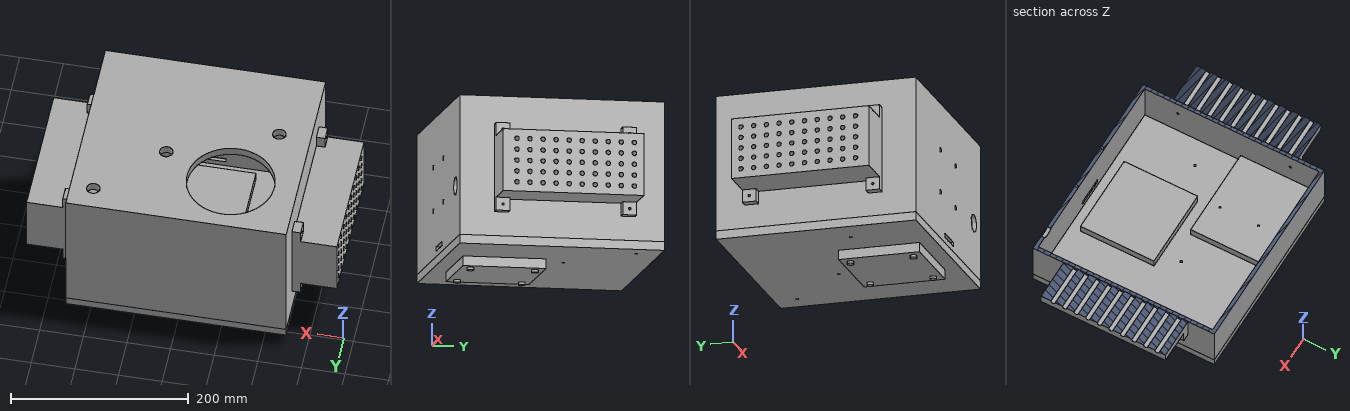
import cadquery as cq


TOTAL_WIDTH = 356.0
HOUSING_WIDTH = 252.8
HOUSING_DEPTH = 235.0
CASE_HEIGHT = 170.0
PLATE_THICKNESS = 10.0
WALL = 5.0
FRONT_Y = -HOUSING_DEPTH / 2
HOUSING_HEIGHT = CASE_HEIGHT - PLATE_THICKNESS
CAVITY_WIDTH = HOUSING_WIDTH - 2 * WALL
CAVITY_DEPTH = HOUSING_DEPTH - 2 * WALL
CAVITY_HEIGHT = HOUSING_HEIGHT - PLATE_THICKNESS

TOP_OPENING_DIA = 100.0
TOP_OPENING_CENTER = (-50.0, 50.5)
ACCESS_HOLE_DIA = 15.0
ACCESS_HOLE_CENTERS = [(100.0, 90.0), (30.0, 20.0), (-90.0, -30.0)]
BASE_HOLE_DIA = 2.7

FRONT_HOLE_DIA = 2.5
FRONT_RECESS_DIA = 5.0
FRONT_RECESS_DEPTH = 3.5
FRONT_HOLE_SPACING_X = 58.7
FRONT_HOLE_SPACING_Z = 50.0
FRONT_HOLES_Z = 90.0
CABLE_HOLE_DIA = 20.0
CABLE_HOLE_X = 100.5
CABLE_HOLE_Z = 70.0
SLOT_WIDTH = 33.5
SLOT_HEIGHT = 4.5
SLOT_X = 4.0
SLOT_Z = 19.0

PLATFORM_HEIGHT = 10.0
PAD_RIGHT_X = -7.0
PAD_FRONT_Y = 11.5
PAD_WIDTH = PAD_RIGHT_X + CAVITY_WIDTH / 2
PAD_DEPTH = CAVITY_DEPTH / 2 - PAD_FRONT_Y
PAD_HOLE_DIA = 2.0
PAD_HOLE_SPACING = 50.0
PAD_HOLES_CENTER = (-49.5, 50.2)
BLOCK_WIDTH = 100.0
BLOCK_DEPTH = 95.0
BLOCK_DROP = 11.0
BLOCK_HEIGHT = BLOCK_DROP + PLATE_THICKNESS + PLATFORM_HEIGHT
BLOCK_Y = -51.3
FOOT_DIA = 8.0
FOOT_HEIGHT = 3.0
FOOT_SPACING_X = 77.3
FOOT_SPACING_Y = 74.0

VENT_REACH = (TOTAL_WIDTH - HOUSING_WIDTH) / 2
VENT_LENGTH = 161.3
VENT_HEIGHT = 71.0
VENT_Y = 3.0
VENT_Z = 87.5
EAR_WIDTH = 16.0
EAR_THICKNESS = 10.0
EAR_POST_HEIGHT = 100.5
EAR_SPACING = VENT_LENGTH - EAR_WIDTH
EAR_HOLE_DIA = 2.5
EAR_HOLE_SPACING_Z = 85.8
VENT_HOLE_DIA = 5.0
VENT_HOLE_COLUMNS = 10
VENT_HOLE_ROWS = 5
VENT_HOLE_PITCH_Y = 15.0
VENT_HOLE_PITCH_Z = 12.5
VENT_HOLES_Y = 5.5


def block(size_x, size_y, size_z, x, y, bottom_z):
    """Block centred on (x, y) that stands on the height bottom_z."""
    plane = cq.Workplane("XY", origin=(x, y, bottom_z))
    return plane.box(size_x, size_y, size_z, centered=(True, True, False))


def rectangle_corners(width, height):
    """Corner points of a rectangle centred on the origin."""
    return [(i * width / 2, j * height / 2) for i in (-1, 1) for j in (-1, 1)]


def cylinders(plane, origin, points, diameter, length):
    """Equal cylinders that start at points on a plane; a negative length runs against its normal."""
    return cq.Workplane(plane, origin=origin).pushPoints(points).circle(diameter / 2).extrude(length)


def ear_screw_bores():
    """Four bores along X through all the ears and the housing side walls."""
    points = rectangle_corners(EAR_SPACING, EAR_HOLE_SPACING_Z)
    return cylinders("YZ", (-TOTAL_WIDTH / 2, VENT_Y, VENT_Z), points, EAR_HOLE_DIA, TOTAL_WIDTH)


def top_openings():
    origin = (0, 0, CASE_HEIGHT)
    large = cylinders("XY", origin, [TOP_OPENING_CENTER], TOP_OPENING_DIA, -PLATE_THICKNESS)
    access = cylinders("XY", origin, ACCESS_HOLE_CENTERS, ACCESS_HOLE_DIA, -PLATE_THICKNESS)
    return large.union(access)


def front_openings():
    """Four recessed screw holes, a cable hole and a slot through the front wall."""
    screw_origin = (0, FRONT_Y, FRONT_HOLES_Z)
    screw_points = rectangle_corners(FRONT_HOLE_SPACING_X, FRONT_HOLE_SPACING_Z)
    screws = cylinders("XZ", screw_origin, screw_points, FRONT_HOLE_DIA, -WALL)
    recesses = cylinders("XZ", screw_origin, screw_points, FRONT_RECESS_DIA, -FRONT_RECESS_DEPTH)
    cable = cylinders("XZ", (CABLE_HOLE_X, FRONT_Y, CABLE_HOLE_Z), [(0, 0)], CABLE_HOLE_DIA, -WALL)
    slot = block(SLOT_WIDTH, WALL, SLOT_HEIGHT, SLOT_X, FRONT_Y + WALL / 2, SLOT_Z - SLOT_HEIGHT / 2)
    return screws.union(recesses).union(cable).union(slot)


def make_housing():
    """Box that is open at the bottom."""
    outside = block(HOUSING_WIDTH, HOUSING_DEPTH, HOUSING_HEIGHT, 0, 0, PLATE_THICKNESS)
    cavity = block(CAVITY_WIDTH, CAVITY_DEPTH, CAVITY_HEIGHT, 0, 0, PLATE_THICKNESS)
    return outside.cut(cavity).cut(top_openings()).cut(front_openings()).cut(ear_screw_bores())


def make_pad():
    """Raised pad with two blind holes."""
    pad_x = PAD_RIGHT_X - PAD_WIDTH / 2
    pad_y = PAD_FRONT_Y + PAD_DEPTH / 2
    pad = block(PAD_WIDTH, PAD_DEPTH, PLATFORM_HEIGHT, pad_x, pad_y, PLATE_THICKNESS)
    hole_origin = (*PAD_HOLES_CENTER, PLATE_THICKNESS)
    hole_points = [(0, side * PAD_HOLE_SPACING / 2) for side in (-1, 1)]
    return pad.cut(cylinders("XY", hole_origin, hole_points, PAD_HOLE_DIA, PLATFORM_HEIGHT))


def make_base():
    """Plate that closes the housing, with a pad inside and a footed block that passes through it."""
    plate = block(HOUSING_WIDTH, HOUSING_DEPTH, PLATE_THICKNESS, 0, 0, 0)
    plate = plate.cut(cylinders("XY", (0, 0, 0), ACCESS_HOLE_CENTERS, BASE_HOLE_DIA, PLATE_THICKNESS))
    footed_block = block(BLOCK_WIDTH, BLOCK_DEPTH, BLOCK_HEIGHT, 0, BLOCK_Y, -BLOCK_DROP)
    foot_points = rectangle_corners(FOOT_SPACING_X, FOOT_SPACING_Y)
    feet = cylinders("XY", (0, BLOCK_Y, -BLOCK_DROP), foot_points, FOOT_DIA, -FOOT_HEIGHT)
    return plate.union(make_pad()).union(footed_block).union(feet)


def make_vent_box(side):
    """Perforated box with two ear posts; side is -1 for the left wall and 1 for the right wall."""
    wall_x = side * HOUSING_WIDTH / 2
    vent_x = wall_x + side * VENT_REACH / 2
    vent = block(VENT_REACH, VENT_LENGTH, VENT_HEIGHT, vent_x, VENT_Y, VENT_Z - VENT_HEIGHT / 2)
    for end in (-1, 1):
        ear_x = wall_x + side * EAR_THICKNESS / 2
        ear_y = VENT_Y + end * EAR_SPACING / 2
        ear_bottom = VENT_Z - EAR_POST_HEIGHT / 2
        vent = vent.union(block(EAR_THICKNESS, EAR_WIDTH, EAR_POST_HEIGHT, ear_x, ear_y, ear_bottom))
    perforation = (
        cq.Workplane("YZ", origin=(wall_x, VENT_HOLES_Y, VENT_Z))
        .rarray(VENT_HOLE_PITCH_Y, VENT_HOLE_PITCH_Z, VENT_HOLE_COLUMNS, VENT_HOLE_ROWS)
        .circle(VENT_HOLE_DIA / 2)
        .extrude(side * VENT_REACH)
    )
    return vent.cut(perforation).cut(ear_screw_bores())


housing = make_housing()
base = make_base()
vent_boxes = [make_vent_box(side) for side in (-1, 1)]

result = cq.Compound.makeCompound([housing.val(), base.val(), *[vent.val() for vent in vent_boxes]])